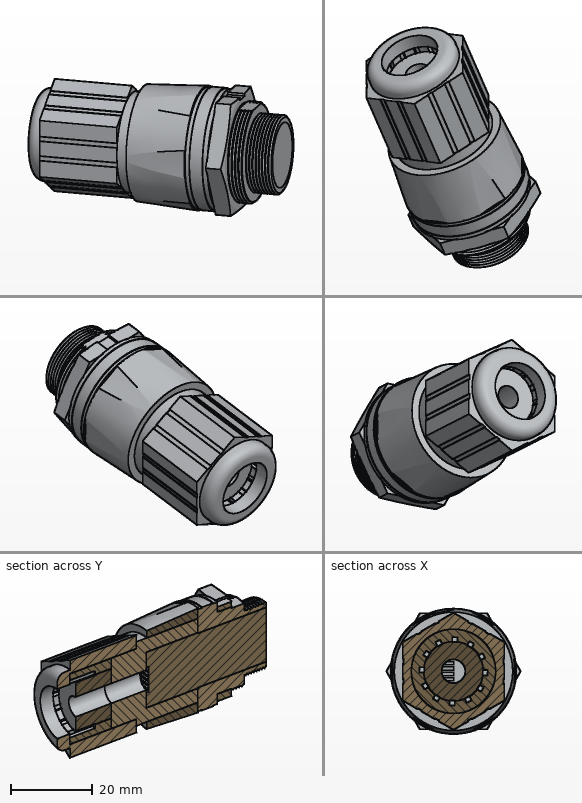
import cadquery as cq
import math

TOTAL_LENGTH = 62.7
HEX_START = 3.8
SEAL_START = 5.5
ADAPTER_START = 16.3
HEX_END = 23.8
SLEEVE_START = 26.8
FLANGE_START = 42.25
BAND_START = 43.4
BAND_END = 46.75
NUT_START = 48.0
NUT_END = 52.35
LARGE_THREAD_END = 56.1

CABLE_BORE_R = 7.3
SPIGOT_R = 10.35
NECK_R = 12.55
CARRIER_R = 8.15
SEAL_HOLE_R = 2.9
SOCKET_R = 12.2

HEX_SIDES = 6
HALF_SIDE_ANGLE = math.pi / HEX_SIDES

CAP_R = 11.65
CAP_ROUNDING = 2.45
CAP_FLATS = 2 * NECK_R
GRIP_GROOVE_OFFSET = 2.5
GRIP_GROOVE_WIDTH = 1.2
GRIP_GROOVE_DEPTH = 0.2

CAGE_SLOT_COUNT = 12
CAGE_SLOT_WIDTH = 1.25
CAGE_SLOT_LENGTH = 7.5
CAGE_SLOT_DEPTH = 1.1
CAGE_SLOT_TURN = 2.5

CARRIER_START = SLEEVE_START
CONTACT_SLOT_COUNT = 6
CONTACT_SLOT_PITCH = 1.3
CONTACT_SLOT_HEIGHT = 0.8
CONTACT_SLOT_REACH = 2.75
CONTACT_SLOT_LIP = 0.6
CONTACT_SLOT_SLOPE = 20.0

SLEEVE_FRONT_R = 14.6
SLEEVE_REAR_R = 31.05 / 2
LEAF_COUNT = 6
LEAF_END = 42.1
LEAF_SCOOP_R = 37.6
LEAF_FLOOR_RISE = 0.3

FLANGE_FRONT_R = 15.2
BAND_R = 15.35
LARGE_CREST_R = 12.7
LARGE_PITCH = 0.9
LARGE_TURNS = 4
THREAD_FLAT_HEIGHT = 11.8
SMALL_ROOT_R = 9.4
SMALL_CREST_R = 9.9
SMALL_PITCH = 0.8
SMALL_TURNS = 8

NUT_CORNERS = 33.15
NUT_CHAMFER = 0.45
KEYWAY_WIDTH = 3.75
KEYWAY_DEPTH = 0.6


def cylinder(x_start, x_end, radius):
    """Solid cylinder on the X axis."""
    return cq.Workplane("YZ", origin=(x_start, 0, 0)).circle(radius).extrude(x_end - x_start)


def tube(x_start, x_end, outer_r, inner_r):
    """Hollow cylinder on the X axis."""
    return (
        cq.Workplane("YZ", origin=(x_start, 0, 0))
        .circle(outer_r)
        .circle(inner_r)
        .extrude(x_end - x_start)
    )


def turned(profile):
    """Solid of revolution about X from (x, radius) points that start and end on the axis."""
    return cq.Workplane("XZ").polyline(profile).close().revolve(360, (0, 0), (1, 0))


def hexagon(x_start, x_end, corner_diameter):
    """Hexagonal bar along X with two corners on the Y axis."""
    return (
        cq.Workplane("YZ", origin=(x_start, 0, 0))
        .polygon(HEX_SIDES, corner_diameter)
        .extrude(x_end - x_start)
    )


def turn_about_axis(body, degrees):
    return body.rotate((0, 0, 0), (1, 0, 0), degrees)


def make_cap_nut():
    """Hexagonal cap with a rounded nose and two grip grooves on every flat."""
    nose = cylinder(0, HEX_START, CAP_R).faces("<X").edges().fillet(CAP_ROUNDING)
    corners = CAP_FLATS / math.cos(HALF_SIDE_ANGLE)
    grip = turn_about_axis(hexagon(HEX_START, HEX_END, corners), 90)
    for flat in range(HEX_SIDES):
        for side in (-1, 1):
            groove = (
                cq.Workplane("XY", origin=(HEX_START, CAP_FLATS / 2, side * GRIP_GROOVE_OFFSET))
                .box(
                    HEX_END - HEX_START,
                    2 * GRIP_GROOVE_DEPTH,
                    GRIP_GROOVE_WIDTH,
                    centered=(False, True, True),
                )
            )
            grip = grip.cut(turn_about_axis(groove, flat * 360 / HEX_SIDES))
    cap = nose.union(grip)
    cap = cap.cut(cylinder(0, HEX_START, CABLE_BORE_R))
    return cap.cut(cylinder(HEX_START, HEX_END, SPIGOT_R))


def make_clamp_cage():
    """Ring around the seal, grooved lengthwise along the front of its bore."""
    slot_floor_r = CABLE_BORE_R + CAGE_SLOT_DEPTH
    cage = tube(HEX_START, ADAPTER_START, SPIGOT_R, CABLE_BORE_R)
    for index in range(CAGE_SLOT_COUNT):
        slot = (
            cq.Workplane("XY", origin=(HEX_START, 0, 0))
            .box(CAGE_SLOT_LENGTH, slot_floor_r, CAGE_SLOT_WIDTH, centered=(False, False, True))
        )
        cage = cage.cut(turn_about_axis(slot, CAGE_SLOT_TURN + index * 360 / CAGE_SLOT_COUNT))
    return cage


def make_seal():
    return tube(SEAL_START, ADAPTER_START, CABLE_BORE_R, SEAL_HOLE_R)


def make_adapter():
    """Spigot inside the cap, with a barrel that runs back through the sleeve."""
    spigot = cylinder(ADAPTER_START, HEX_END, SPIGOT_R)
    barrel = cylinder(HEX_END, FLANGE_START, NECK_R)
    adapter = spigot.union(barrel)
    adapter = adapter.cut(cylinder(ADAPTER_START, CARRIER_START, SEAL_HOLE_R))
    return adapter.cut(cylinder(CARRIER_START, FLANGE_START, CARRIER_R))


def make_contact_carrier():
    """Cylinder with a row of sloping slots on the +Y half of its front face."""
    carrier = cylinder(CARRIER_START, TOTAL_LENGTH, CARRIER_R)
    slot_depth = CONTACT_SLOT_LIP + CONTACT_SLOT_REACH * math.tan(math.radians(CONTACT_SLOT_SLOPE))
    for index in range(CONTACT_SLOT_COUNT):
        z_centre = (index - (CONTACT_SLOT_COUNT - 1) / 2) * CONTACT_SLOT_PITCH
        slot = (
            cq.Workplane("XY", origin=(CARRIER_START, 0, z_centre))
            .polyline([
                (0, 0),
                (0, CONTACT_SLOT_REACH),
                (slot_depth, CONTACT_SLOT_REACH),
                (CONTACT_SLOT_LIP, 0),
            ])
            .close()
            .extrude(CONTACT_SLOT_HEIGHT / 2, both=True)
        )
        carrier = carrier.cut(slot)
    return carrier


def make_sleeve():
    """Flared sleeve with leaf-shaped hollows that widen toward its rear."""
    sleeve = turned([
        (SLEEVE_START, 0),
        (SLEEVE_START, SLEEVE_FRONT_R),
        (FLANGE_START, SLEEVE_REAR_R),
        (FLANGE_START, 0),
    ]).cut(cylinder(SLEEVE_START, FLANGE_START, NECK_R))
    leaf_length = LEAF_END - SLEEVE_START
    leaf_tilt = math.degrees(math.atan2(LEAF_FLOOR_RISE, leaf_length))
    scoop = (
        cylinder(SLEEVE_START - leaf_length, LEAF_END, LEAF_SCOOP_R)
        .translate((0, SLEEVE_FRONT_R + LEAF_SCOOP_R, 0))
        .rotate((SLEEVE_START, SLEEVE_FRONT_R, 0), (SLEEVE_START, SLEEVE_FRONT_R, 1), leaf_tilt)
    )
    for index in range(LEAF_COUNT):
        sleeve = sleeve.cut(turn_about_axis(scoop, index * 360 / LEAF_COUNT), clean=False)
    return sleeve


def thread_profile(x_start, root_r, crest_r, pitch, turns):
    """Outline points of V-shaped thread ridges, from the first root to the last."""
    points = [(x_start, root_r)]
    for turn in range(turns):
        points.append((x_start + (turn + 0.5) * pitch, crest_r))
        points.append((x_start + (turn + 1) * pitch, root_r))
    return points


def make_socket():
    """Banded flange, plain length under the lock nut, then a large and a small thread."""
    flange_profile = [
        (FLANGE_START, 0),
        (FLANGE_START, FLANGE_FRONT_R),
        (BAND_START, FLANGE_FRONT_R),
        (BAND_START, BAND_R),
        (BAND_END, BAND_R),
        (BAND_END, FLANGE_FRONT_R),
        (NUT_START, FLANGE_FRONT_R),
        (NUT_START, SOCKET_R),
    ]
    large_thread = thread_profile(NUT_END, SOCKET_R, LARGE_CREST_R, LARGE_PITCH, LARGE_TURNS)
    small_thread = thread_profile(LARGE_THREAD_END, SMALL_ROOT_R, SMALL_CREST_R, SMALL_PITCH, SMALL_TURNS)
    socket = turned(
        flange_profile
        + large_thread
        + [(LARGE_THREAD_END, SOCKET_R)]
        + small_thread[:-1]
        + [(TOTAL_LENGTH, SMALL_ROOT_R), (TOTAL_LENGTH, 0)]
    )
    flat_cutter = (
        cq.Workplane("XY", origin=(NUT_END, 0, THREAD_FLAT_HEIGHT))
        .box(LARGE_THREAD_END - NUT_END, 2 * LARGE_CREST_R, LARGE_CREST_R, centered=(False, True, False))
    )
    return socket.cut(flat_cutter).cut(cylinder(FLANGE_START, TOTAL_LENGTH, CARRIER_R))


def make_lock_nut():
    """Hexagonal nut, chamfered at the rear, with a keyway across its top flat."""
    corner_r = NUT_CORNERS / 2
    flat_r = corner_r * math.cos(HALF_SIDE_ANGLE)
    envelope = turned([
        (NUT_START, 0),
        (NUT_START, corner_r),
        (NUT_END - NUT_CHAMFER, corner_r),
        (NUT_END, flat_r),
        (NUT_END, 0),
    ])
    nut = hexagon(NUT_START, NUT_END, NUT_CORNERS).intersect(envelope)
    keyway = (
        cq.Workplane("XY", origin=(NUT_START, 0, flat_r - KEYWAY_DEPTH))
        .box(NUT_END - NUT_START, KEYWAY_WIDTH, 2 * KEYWAY_DEPTH, centered=(False, True, False))
    )
    return nut.cut(keyway).cut(cylinder(NUT_START, NUT_END, SOCKET_R))


cap_nut = make_cap_nut()
clamp_cage = make_clamp_cage()
seal = make_seal()
adapter = make_adapter()
contact_carrier = make_contact_carrier()
sleeve = make_sleeve()
socket = make_socket()
lock_nut = make_lock_nut()

result = cq.Compound.makeCompound([
    cap_nut.val(),
    clamp_cage.val(),
    seal.val(),
    adapter.val(),
    contact_carrier.val(),
    sleeve.val(),
    socket.val(),
    lock_nut.val(),
])